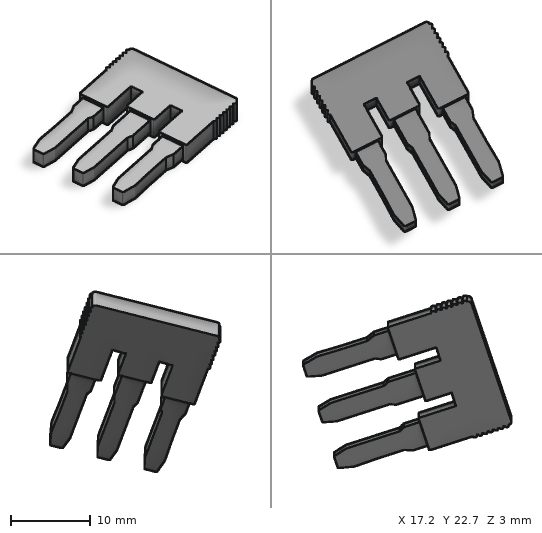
import cadquery as cq

total_length = 22.7
overall_width = 17.2
grip_thickness = 3.0
pin_thickness = 2.15

grip_width = 16.78
grip_bottom = 11.7
middle_leg_bottom = 13.23
notch_top = 16.68
notch_inner_x = 2.2
notch_outer_x = 3.97
grip_corner_radius = 0.4
leg_corner_radius = 0.18

ridge_count = 7
ridge_pitch = 0.7
first_ridge_y = 21.97
ridge_radius = 0.3
ridge_center_x = overall_width / 2 - ridge_radius

pin_spacing = 6.22
pin_overlap = 0.9
tip_half_width = 0.82
tip_radius = 0.2
middle_shank_half_width = 1.57
middle_blade_half_width = 1.25
middle_shoulder_top = 9.55
middle_shoulder_bottom = 8.8
middle_taper_start = 1.77
outer_shank_half_width = 1.61
outer_blade_half_width = 1.27
outer_waist_half_width = 1.2
waist_bottom = 5.05
waist_flare_end = 2.47
inner_side_shoulder_top = 9.6
inner_side_shoulder_bottom = 8.9
inner_side_taper_start = 1.85
outer_side_shoulder_top = 9.72
outer_side_shoulder_bottom = 8.65
outer_side_taper_start = 2.0


def extrude_centered(sketch, thickness):
    """Extrude a profile symmetrically about Z = 0."""
    return sketch.extrude(thickness / 2, both=True)


def box_between(x_min, x_max, y_min, y_max):
    """Full-thickness block spanning the given X and Y limits."""
    profile = cq.Workplane("XY").center((x_min + x_max) / 2, (y_min + y_max) / 2)
    return extrude_centered(profile.rect(x_max - x_min, y_max - y_min), grip_thickness)


def make_grip():
    """Rounded comb with a shorter middle leg and ridged sides."""
    half_width = grip_width / 2
    grip = box_between(-half_width, half_width, notch_top, total_length)
    grip = grip.edges("|Z and >Y").fillet(grip_corner_radius)
    for x_min, x_max, y_min in (
        (-half_width, -notch_outer_x, grip_bottom),
        (-notch_inner_x, notch_inner_x, middle_leg_bottom),
        (notch_outer_x, half_width, grip_bottom),
    ):
        leg = box_between(x_min, x_max, y_min, notch_top)
        grip = grip.union(leg.edges("|Z and <Y").fillet(leg_corner_radius))
    ridge_points = [
        (side * ridge_center_x, first_ridge_y - i * ridge_pitch)
        for side in (-1, 1)
        for i in range(ridge_count)
    ]
    ridges = cq.Workplane("XY").pushPoints(ridge_points).circle(ridge_radius)
    return grip.union(extrude_centered(ridges, grip_thickness))


def make_pin(left_side, right_side, top):
    """Pin about X = 0; each side lists (half width, Y) from the shank down to the tip."""
    outline = [(-left_side[0][0], top)]
    outline += [(-half_width, y) for half_width, y in left_side]
    outline += [(-tip_half_width, 0), (tip_half_width, 0)]
    outline += reversed(right_side)
    outline += [(right_side[0][0], top)]
    pin = extrude_centered(cq.Workplane("XY").polyline(outline).close(), pin_thickness)
    return pin.edges("|Z and <Y").fillet(tip_radius)


middle_side = [
    (middle_shank_half_width, middle_shoulder_top),
    (middle_blade_half_width, middle_shoulder_bottom),
    (middle_blade_half_width, middle_taper_start),
]
inner_side = [
    (outer_shank_half_width, inner_side_shoulder_top),
    (outer_blade_half_width, inner_side_shoulder_bottom),
    (outer_blade_half_width, inner_side_taper_start),
]
outer_side = [
    (outer_shank_half_width, outer_side_shoulder_top),
    (outer_waist_half_width, outer_side_shoulder_bottom),
    (outer_waist_half_width, waist_bottom),
    (outer_blade_half_width, waist_flare_end),
    (outer_blade_half_width, outer_side_taper_start),
]

middle_pin = make_pin(middle_side, middle_side, middle_leg_bottom + pin_overlap)
left_pin = make_pin(outer_side, inner_side, grip_bottom + pin_overlap).translate((-pin_spacing, 0, 0))
right_pin = left_pin.mirror("YZ")

result = make_grip().union(middle_pin).union(left_pin).union(right_pin)